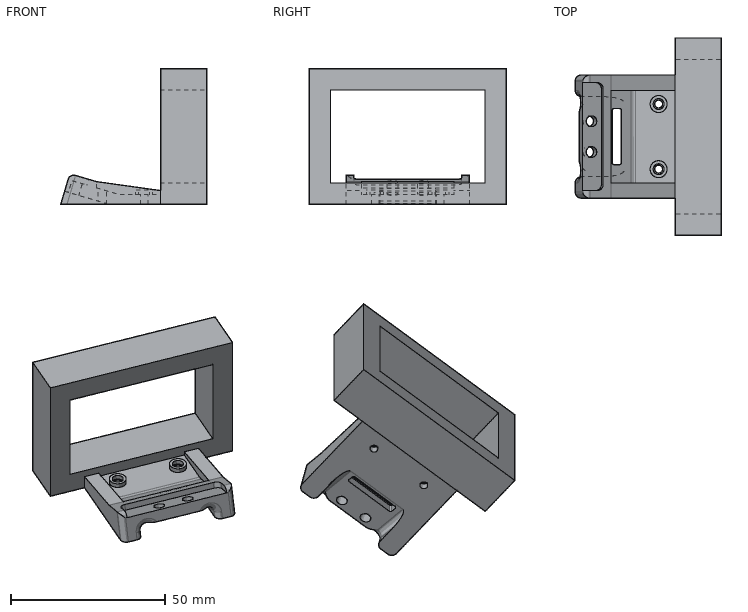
import cadquery as cq
import math

frame_length = 64.0
frame_height = 44.0
frame_depth = 15.0
frame_wall = 7.0
overall_depth = 47.4
frame_front_x = overall_depth - frame_depth

bracket_width = 40.0
lean_angle = 16.4
nose_height = 10.4
nose_radius = 2.0
kink_x = 11.65
rail_end_height = 4.55

pocket_width = 35.0
pocket_depth = 2.0
pocket_length = 6.4
pocket_radius = 2.0
nose_hole_diameter = 3.5
nose_hole_spacing = 10.0
nose_hole_inset = 3.1

slab_thickness = 4.0
tunnel_radius = 2.0
flare_radius = 2.0
tunnel_half_width = 13.0
tunnel_roof = nose_height - pocket_depth - slab_thickness
arch_y = tunnel_half_width - tunnel_radius
arch_height = tunnel_roof - tunnel_radius

rail_width = 5.0
recess_width = bracket_width - 2 * rail_width
floor_height = 3.25
floor_blend_radius = 5.0

slot_length = 18.1
slot_width = 2.9
slot_x = 13.5
slot_corner_radius = 0.5

boss_diameter = 5.5
boss_height = 1.5
counterbore_diameter = 3.5
counterbore_depth = 1.5
screw_hole_diameter = 2.5
boss_x = 27.1
boss_spacing = 21.1

reach = 38.4

lean = math.radians(lean_angle)
slope = math.tan(lean)
nose_tip = (nose_height * math.sin(lean), nose_height * math.cos(lean))
kink = (kink_x, nose_tip[1] - (kink_x - nose_tip[0]) * slope)


def to_nose(shape):
    """Tilt a shape built on an upright nose face (x = 0) back onto the leaning face."""
    return shape.rotate((0, 0, 0), (0, 1, 0), lean_angle)


def extrude_profile(points, width):
    """Extrude an XZ outline symmetrically about the plane y = 0."""
    return cq.Workplane("XZ").polyline(points).close().extrude(width / 2, both=True)


def make_frame():
    middle = (frame_front_x + frame_depth / 2, 0, frame_height / 2)
    outer = cq.Workplane("XY").box(frame_depth, frame_length, frame_height)
    window = cq.Workplane("XY").box(
        frame_depth, frame_length - 2 * frame_wall, frame_height - 2 * frame_wall
    )
    return outer.cut(window).translate(middle)


def make_bracket_blank():
    blank = extrude_profile(
        [(0, 0), nose_tip, kink, (frame_front_x, rail_end_height), (frame_front_x, 0)],
        bracket_width,
    )
    nose_middle = (nose_tip[0] / 2, 0, nose_tip[1] / 2)
    nose_edges = blank.faces(cq.selectors.NearestToPointSelector(nose_middle)).edges("not <Z")
    return blank.newObject(nose_edges.vals()).fillet(nose_radius)


def make_nose_pocket():
    pocket = (
        cq.Workplane("XY")
        .box(2 * pocket_length, pocket_width, 2 * pocket_depth)
        .edges("|Z and >X")
        .fillet(pocket_radius)
        .translate((0, 0, nose_height))
    )
    return to_nose(pocket)


def make_nose_holes():
    holes = (
        cq.Workplane("XY")
        .pushPoints([(nose_hole_inset, side * nose_hole_spacing / 2) for side in (-1, 1)])
        .circle(nose_hole_diameter / 2)
        .extrude(nose_height)
    )
    return to_nose(holes)


def make_tunnel():
    """Round-cornered passage running square to the nose face."""
    tunnel = (
        cq.Workplane("XY")
        .box(2 * reach, 2 * tunnel_half_width, reach)
        .edges("|X and >Z")
        .fillet(tunnel_radius)
        .translate((0, 0, tunnel_roof - reach / 2))
    )
    return to_nose(tunnel)


def make_flare(side):
    """Trumpet mouth round one tunnel corner, continued straight down its wall."""
    mouth_radius = tunnel_radius + flare_radius
    arc_fraction = math.sqrt(0.5)
    half_section = (
        cq.Workplane("XY")
        .lineTo(0, mouth_radius)
        .threePointArc(
            (flare_radius - flare_radius * arc_fraction, mouth_radius - flare_radius * arc_fraction),
            (flare_radius, tunnel_radius),
        )
        .lineTo(flare_radius, 0)
        .close()
    )
    trumpet = half_section.revolve(360, (0, 0, 0), (1, 0, 0))
    wall_flare = half_section.toPending().extrude(-reach)
    flare = trumpet.union(wall_flare)
    if side < 0:
        flare = flare.mirror("XZ")
    return to_nose(flare.translate((0, side * arch_y, arch_height)))


def make_recess():
    """Open space between the rails; its sloped floor continues the pocket floor."""
    floor_start = kink[1] - pocket_depth / math.cos(lean)
    bend_x = kink_x + (floor_start - floor_height) / slope
    recess = extrude_profile(
        [
            (kink_x, floor_start),
            (bend_x, floor_height),
            (frame_front_x, floor_height),
            (frame_front_x, nose_height),
            (kink_x, nose_height),
        ],
        recess_width,
    )
    bend = cq.selectors.NearestToPointSelector((bend_x, 0, floor_height))
    return recess.edges(bend).fillet(floor_blend_radius)


def make_slot():
    return (
        cq.Workplane("XY")
        .box(slot_width, slot_length, reach)
        .edges("|Z")
        .fillet(slot_corner_radius)
        .translate((slot_x, 0, 0))
    )


def add_screw_bosses(bracket):
    boss_top = floor_height + boss_height
    for side in (-1, 1):
        base = cq.Workplane("XY").center(boss_x, side * boss_spacing / 2)
        boss = base.circle(boss_diameter / 2).extrude(boss_top)
        hole = base.circle(screw_hole_diameter / 2).extrude(boss_top)
        counterbore = (
            base.workplane(offset=boss_top)
            .circle(counterbore_diameter / 2)
            .extrude(-counterbore_depth)
        )
        bracket = bracket.union(boss).cut(hole).cut(counterbore)
    return bracket


def make_bracket():
    bracket = make_bracket_blank()
    bracket = bracket.cut(make_nose_pocket()).cut(make_nose_holes())
    bracket = bracket.cut(make_tunnel())
    for side in (-1, 1):
        bracket = bracket.cut(make_flare(side))
    bracket = bracket.cut(make_recess()).cut(make_slot())
    return add_screw_bosses(bracket)


frame = make_frame()
bracket = make_bracket()
result = cq.Compound.makeCompound([frame.val(), *bracket.vals()])